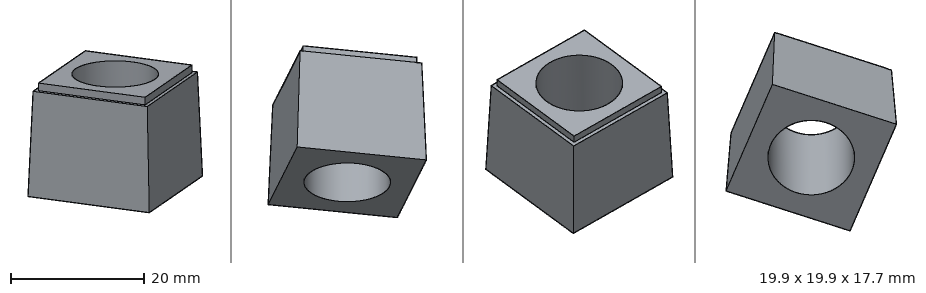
import cadquery as cq

base_side = 19.91
shoulder_side = 18.75
body_height = 16.5

step_side = 17.5
overall_height = 17.7
step_height = overall_height - body_height

bore_diameter = 13.0


def tapered_body():
    """Square frustum standing on the XY plane."""
    return (
        cq.Workplane("XY")
        .rect(base_side, base_side)
        .workplane(offset=body_height)
        .rect(shoulder_side, shoulder_side)
        .loft(ruled=True)
    )


def add_step(body):
    """Straight-sided square step, set in from the shoulder edges."""
    return body.faces(">Z").workplane().rect(step_side, step_side).extrude(step_height)


def cut_bore(body):
    """Round bore through the full height."""
    return body.faces(">Z").workplane().circle(bore_diameter / 2).cutThruAll()


result = cut_bore(add_step(tapered_body()))